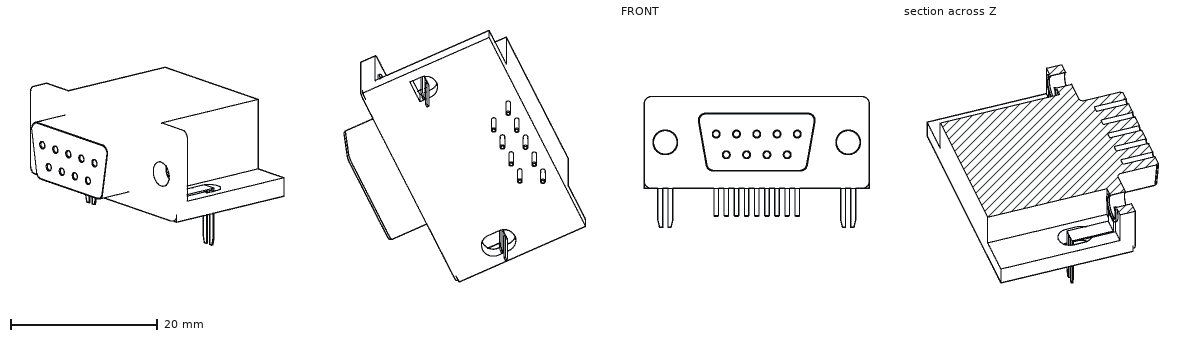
import cadquery as cq
import math


width = 30.8
height = 12.57
depth = 19.5
flange_back = 2.25
block_width = 19.85
shelf_top = 2.65
corner_radius = 1.02

plate_thickness = 0.35
plate_edge_radius = 0.12
shell_length = 5.8
shell_height = 7.95
shell_top_width = 16.35
shell_side_angle = 10.0
shell_corner_radius = 1.02
shell_root_radius = 0.55
shell_mid_z = 6.3

insert_inset = 0.12
insert_proud = 0.3
insert_edge_radius = 0.12
insert_face_y = -(shell_length + insert_proud)

long_row_count = 5
short_row_count = 4
contact_pitch = 2.77
contact_row_gap = 2.83
contacts_mid_z = 6.0
socket_diameter = 0.85
socket_depth = 4.62
socket_chamfer = 0.108

pin_diameter = 0.65
pin_length = 3.85
pin_tip_chamfer = 0.12
pin_front_row_y = 14.88
pin_embed = 0.3

screw_spacing = 25.0
screw_hole_diameter = 3.4
slot_width = 3.2
slot_front_centre_y = 6.9
slot_back_centre_y = 8.53

ring_diameter = 4.0
ring_hole_diameter = 3.2
ring_thickness = 0.25
strap_width = 2.1
strap_thickness = 0.35
strap_rise = 0.22
strap_top = 4.62
strap_end_y = 8.55
prong_bottom = -5.33
leg_thickness = 0.22
prong_gap = 0.68
prong_taper_height = 1.05
prong_taper_width = 0.25

screw_sides = (-screw_spacing / 2, screw_spacing / 2)


def block(x_size, y_front, y_back, z_bottom, z_top, x_mid=0.0):
    """Box centred on x_mid in X and given by its limits in Y and Z."""
    return cq.Workplane("XY").box(
        x_size, y_back - y_front, z_top - z_bottom, centered=(True, False, False)
    ).translate((x_mid, y_front, z_bottom))


def cylinder_along_y(diameter, y_front, y_back, x, z):
    """Round bar parallel to Y."""
    return (
        cq.Workplane("XZ", origin=(x, y_front, z))
        .circle(diameter / 2)
        .extrude(-(y_back - y_front))
    )


def contact_row(count):
    """X places of one row of contacts, centred on the connector."""
    return [(i - (count - 1) / 2) * contact_pitch for i in range(count)]


def make_housing():
    flange = block(width, plate_thickness, flange_back, 0, height)
    flange = flange.edges("|Y and >Z").fillet(corner_radius)
    centre_block = block(block_width, plate_thickness, depth, 0, height)
    shelf = block(width, plate_thickness, depth, 0, shelf_top)
    return flange.union(centre_block).union(shelf)


def shell_outline_bar(y_front, inset):
    """Solid D-shaped bar from y_front back into the plate, inset all round from the shell."""
    top_half = shell_top_width / 2
    bottom_half = top_half - shell_height * math.tan(math.radians(shell_side_angle))
    top_z = shell_mid_z + shell_height / 2
    bottom_z = shell_mid_z - shell_height / 2
    outline = (
        cq.Workplane("XZ", origin=(0, plate_thickness, 0))
        .polyline([
            (-bottom_half, bottom_z),
            (bottom_half, bottom_z),
            (top_half, top_z),
            (-top_half, top_z),
        ])
        .close()
    )
    if inset:
        outline = outline.offset2D(-inset)
    bar = outline.extrude(plate_thickness - y_front)
    return bar.edges("|Y").fillet(shell_corner_radius - inset)


def make_plate():
    plate = block(width, 0, plate_thickness, 0, height)
    plate = plate.edges("|Y").fillet(corner_radius)
    return plate.faces("<Y").edges().fillet(plate_edge_radius)


def make_plate_and_shell():
    shell = shell_outline_bar(-shell_length, 0)

    margin = plate_edge_radius
    root_zone = cq.selectors.BoxSelector(
        (-shell_top_width / 2, -margin, shell_mid_z - shell_height / 2 - margin),
        (shell_top_width / 2, margin, shell_mid_z + shell_height / 2 + margin),
    )
    shelled_plate = make_plate().union(shell).edges(root_zone).fillet(shell_root_radius)
    insert = shell_outline_bar(insert_face_y, insert_inset)
    return shelled_plate.union(insert.faces("<Y").edges().fillet(insert_edge_radius))


def make_sockets():
    """Blind contact holes with a small lead-in, the longer row on top."""
    upper_z = contacts_mid_z + contact_row_gap / 2
    lower_z = contacts_mid_z - contact_row_gap / 2
    cuts = cq.Workplane("XY")
    for count, z in ((long_row_count, upper_z), (short_row_count, lower_z)):
        for x in contact_row(count):
            hole = cylinder_along_y(socket_diameter, insert_face_y, insert_face_y + socket_depth, x, z)
            mouth = cq.Solid.makeCone(
                socket_diameter / 2 + socket_chamfer,
                socket_diameter / 2,
                socket_chamfer,
                cq.Vector(x, insert_face_y, z),
                cq.Vector(0, 1, 0),
            )
            cuts = cuts.add(hole).add(mouth)
    return cuts.combine()


def make_pins():
    """Two rows of solder pins; the longer row lies at the back."""
    pins = cq.Workplane("XY")
    back_row_y = pin_front_row_y + contact_row_gap
    for count, y in ((short_row_count, pin_front_row_y), (long_row_count, back_row_y)):
        for x in contact_row(count):
            pin = (
                cq.Workplane("XY", origin=(x, y, -pin_length))
                .circle(pin_diameter / 2)
                .extrude(pin_length + pin_embed)
                .faces("<Z").chamfer(pin_tip_chamfer)
            )
            pins = pins.add(pin)
    return pins.combine()


def slot_cut(x, round_front):
    """Slot through the shelf, rounded at the back and either rounded or square in front."""
    cut = block(slot_width, slot_front_centre_y, slot_back_centre_y, 0, shelf_top, x)
    ends = [slot_back_centre_y]
    if round_front:
        ends.append(slot_front_centre_y)
    for y in ends:
        cut = cut.union(cq.Workplane("XY", origin=(x, y, 0)).circle(slot_width / 2).extrude(shelf_top))
    return cut


def make_bracket(x):
    """Ring behind the flange, strap bent along the shelf and a forked leg through the slot."""
    strap_face = flange_back + strap_thickness
    strap_surface = shelf_top + strap_rise
    ring = cylinder_along_y(ring_diameter, flange_back, flange_back + ring_thickness, x, height / 2)
    upright = block(strap_width, flange_back, strap_face, shelf_top, strap_top, x)
    strap = block(strap_width, flange_back, strap_end_y, shelf_top, strap_surface, x)

    half = strap_width / 2
    taper_top = prong_bottom + prong_taper_height
    leg = (
        cq.Workplane("XZ", origin=(x, strap_end_y, 0))
        .polyline([
            (-half, strap_surface),
            (-half, taper_top),
            (-half + prong_taper_width, prong_bottom),
            (half - prong_taper_width, prong_bottom),
            (half, taper_top),
            (half, strap_surface),
        ])
        .close()
        .extrude(leg_thickness)
    )
    fork = block(prong_gap, strap_end_y - leg_thickness, strap_end_y, prong_bottom, shelf_top, x)
    ring_hole = cylinder_along_y(ring_hole_diameter, flange_back, strap_face, x, height / 2)
    return ring.union(upright).cut(ring_hole).union(strap).union(leg.cut(fork))


result = make_housing().union(make_plate_and_shell())
result = result.cut(make_sockets())
result = result.union(make_pins())
for side_x in screw_sides:
    result = result.cut(slot_cut(side_x, round_front=side_x < 0))
    result = result.cut(cylinder_along_y(screw_hole_diameter, 0, flange_back, side_x, height / 2))
    result = result.union(make_bracket(side_x))